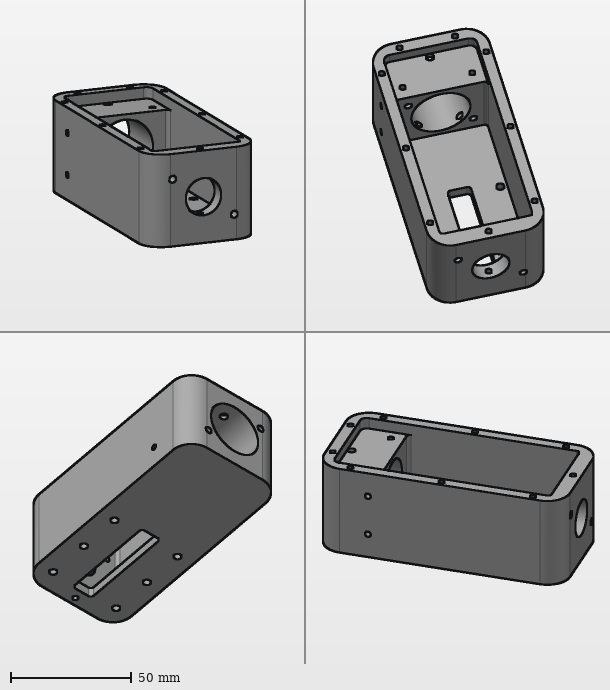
import cadquery as cq

length = 107.7
width = 50.0
height = 40.0
corner_radius = 10.0

cavity_width = 40.0
left_wall = 5.4
right_wall = 7.0
cavity_left = -length / 2 + left_wall
cavity_right = length / 2 - right_wall
shelf_depth = 5.0
recess_corner_radius = 3.0
step_x = -28.6
floor_thickness = 5.0
pocket_corner_radius = 1.5

axis_z = height / 2
bore_diameter = 25.4
outlet_diameter = 16.0

end_hole_diameter = 3.0
end_hole_y = 14
hole_offset_z = 9.0

cross_hole_diameter = 2.5
cross_hole_x = -31.5

rim_hole_diameter = 2.5
rim_hole_depth = 10.0
rim_hole_pitch = 40.0
rim_hole_y = (width + cavity_width) / 4
rim_end_hole_x = -51.0
rim_end_hole_y = 12.0
rim_through_hole_x = 50.3

shelf_hole_diameter = 2.5
shelf_hole_depth = 10.0
shelf_hole_x = -34.4
shelf_hole_y = 15.0
bore_feed_hole_diameter = 3.3
bore_feed_hole_x = -46.7

slot_length = 45.0
slot_width = 10.0
slot_corner_radius = 1.5
slot_x = 23.4
floor_hole_diameter = 3.3
floor_hole_pitch = 20.0
floor_hole_middle_x = 24.1
floor_hole_y = 17.0


def rounded_block(left, right, block_width, bottom, top, radius):
    """Upright block with rounded vertical edges, centred on Y."""
    return (
        cq.Workplane("XY", origin=((left + right) / 2, 0, bottom))
        .rect(right - left, block_width)
        .extrude(top - bottom)
        .edges("|Z")
        .fillet(radius)
    )


def upright_holes(points, diameter, bottom, top):
    """Vertical cylinders at the given X, Y points."""
    return (
        cq.Workplane("XY", origin=(0, 0, bottom))
        .pushPoints(points)
        .circle(diameter / 2)
        .extrude(top - bottom)
    )


def lengthwise_hole(y, z, diameter, start_x, end_x):
    """Cylinder along X."""
    return cq.Workplane("YZ", origin=(start_x, y, z)).circle(diameter / 2).extrude(end_x - start_x)


def crosswise_hole(z, end_y):
    """Cylinder along Y that enters from the -Y side."""
    start_y = -width / 2
    return (
        cq.Workplane("XZ", origin=(cross_hole_x, start_y, z))
        .circle(cross_hole_diameter / 2)
        .extrude(start_y - end_y)
    )


shelf_z = height - shelf_depth
body = rounded_block(-length / 2, length / 2, width, 0, height, corner_radius)
recess = rounded_block(cavity_left, cavity_right, cavity_width, shelf_z, height, recess_corner_radius)
pocket = rounded_block(step_x, cavity_right, cavity_width, floor_thickness, height, pocket_corner_radius)
body = body.cut(recess).cut(pocket)

body = body.cut(lengthwise_hole(0, axis_z, bore_diameter, -length / 2, step_x))
body = body.cut(lengthwise_hole(0, axis_z, outlet_diameter, step_x, length / 2))

for side in (-1, 1):
    hole_z = axis_z - side * hole_offset_z
    body = body.cut(
        lengthwise_hole(side * end_hole_y, hole_z, end_hole_diameter, -length / 2, length / 2)
    )

body = body.cut(crosswise_hole(axis_z - hole_offset_z, width / 2))
body = body.cut(crosswise_hole(axis_z + hole_offset_z, -end_hole_y))

rim_points = [
    (column * rim_hole_pitch, side * rim_hole_y)
    for column in (-1, 0, 1)
    for side in (-1, 1)
]
rim_points += [(rim_end_hole_x, side * rim_end_hole_y) for side in (-1, 1)]
body = body.cut(upright_holes(rim_points, rim_hole_diameter, height - rim_hole_depth, height))
body = body.cut(upright_holes([(rim_through_hole_x, 0)], rim_hole_diameter, 0, height))

shelf_points = [(shelf_hole_x, side * shelf_hole_y) for side in (-1, 1)]
body = body.cut(upright_holes(shelf_points, shelf_hole_diameter, shelf_z - shelf_hole_depth, shelf_z))
body = body.cut(upright_holes([(bore_feed_hole_x, 0)], bore_feed_hole_diameter, axis_z, shelf_z))

slot_left = slot_x - slot_length / 2
slot_right = slot_x + slot_length / 2
body = body.cut(rounded_block(slot_left, slot_right, slot_width, 0, floor_thickness, slot_corner_radius))
floor_points = [
    (floor_hole_middle_x + column * floor_hole_pitch, side * floor_hole_y)
    for column in (-1, 0, 1)
    for side in (-1, 1)
]
result = body.cut(upright_holes(floor_points, floor_hole_diameter, 0, floor_thickness))